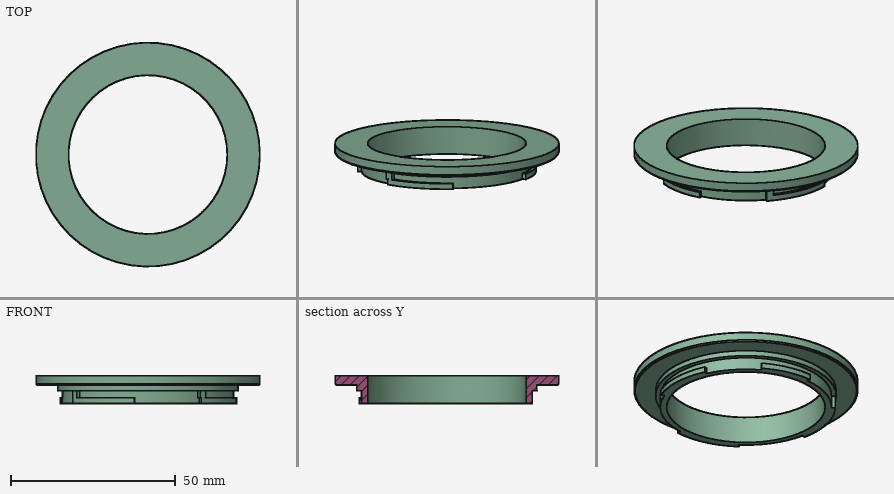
import cadquery as cq
import math

total_height = 8.5
flange_thickness = 2.9
shoulder_height = 1.7
neck_height = total_height - flange_thickness - shoulder_height
lug_height = 1.7

flange_radius = 68 / 2
shoulder_radius = 54.8 / 2
bore_radius = 48.1 / 2
neck_radius = 26.0
lug_radius = 27.1

flange_chamfer = 0.4

lug_spans = [(50, 95), (132.5, 168.2), (213, 261.2), (306.8, 352.2)]
stop_spans = [(213, 217.5), (305.7, 310.3)]


def disc(radius, bottom, height):
    """Solid disc about the Z axis."""
    return cq.Workplane("XY").workplane(offset=bottom).circle(radius).extrude(height)


def ring_sector(span, bottom, height):
    """Sector from the bore out to the lug radius, with radial end faces."""
    start, end = span

    def point(radius, degrees):
        angle = math.radians(degrees)
        return (radius * math.cos(angle), radius * math.sin(angle))

    middle = (start + end) / 2
    return (
        cq.Workplane("XY")
        .workplane(offset=bottom)
        .moveTo(*point(bore_radius, start))
        .lineTo(*point(lug_radius, start))
        .threePointArc(point(lug_radius, middle), point(lug_radius, end))
        .lineTo(*point(bore_radius, end))
        .threePointArc(point(bore_radius, middle), point(bore_radius, start))
        .close()
        .extrude(height)
    )


flange_bottom = neck_height + shoulder_height
flange = disc(flange_radius, flange_bottom, flange_thickness).faces("<Z").chamfer(flange_chamfer)
body = disc(neck_radius, 0, neck_height)
body = body.union(disc(shoulder_radius, neck_height, shoulder_height))
body = body.union(flange)

for lug_span in lug_spans:
    body = body.union(ring_sector(lug_span, 0, lug_height))

for stop_span in stop_spans:
    body = body.union(ring_sector(stop_span, lug_height, neck_height - lug_height))

result = body.cut(disc(bore_radius, 0, total_height))